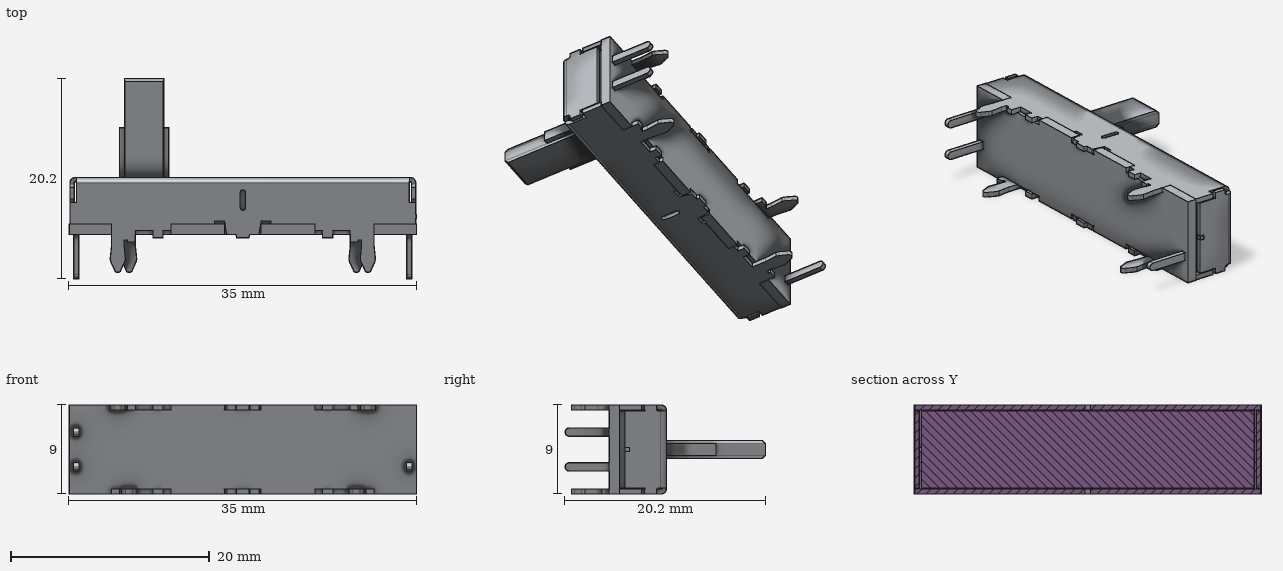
import cadquery as cq
length = 35.0
depth = 9.0
base_thickness = 1.05
sheet = 0.45
wall = 0.52
cover_front_y = 5.78
end_setback = 0.07
bend_outer_radius = 0.6
bend_inner_radius = bend_outer_radius - sheet

half_length = length / 2
half_depth = depth / 2
wall_inner_z = half_depth - wall
cover_half_length = half_length - end_setback
cover_inner_x = cover_half_length - sheet
cavity_top_y = cover_front_y - sheet

flap_half_width = 3.9
flap_bottom_y = 1.58
relief_length = 0.65
relief_bottom_y = 3.25
lug_bottom_y = 3.57
lug_top_y = 4.75
lug_root_radius = 0.3

slot_width = 0.52
slot_bottom_y = 2.45
slot_top_y = 4.5
notch_inner_x = 1.85
notch_outer_x = 2.85
notch_top_y = 1.35
center_tab_tip_x = 1.6
center_peg_root_half_width = 0.7
center_peg_half_width = 0.63
peg_bottom_y = -0.3
side_tab_inner_x = 7.25
side_tab_outer_x = 13.23
side_rim_y = 0.42
side_peg_inner_x = 8.0
side_peg_outer_x = 9.05

foot_plate_inner_x = 10.8
foot_half_width = 0.63
foot_bulge_half_width = 0.77
foot_flare_y = -1.12
foot_bulge_y = -2.45
foot_taper_y = -2.75
foot_taper_half_width = 0.7
foot_tip_arc_y = -3.5
foot_tip_arc_half_width = 0.35
foot_tip_y = -3.8
foot_shoulder_y = -0.75
foot_relief_width = 0.35
foot_relief_top_y = -0.52

terminal_x = 16.75
terminal_z = 1.75
terminal_thickness = 0.52
terminal_width = 0.85
terminal_tip_y = -4.45
terminal_places = [(-terminal_x, terminal_z), (-terminal_x, -terminal_z), (terminal_x, -terminal_z)]

lever_x = -9.95
lever_width = 4.0
lever_thickness = 1.82
lever_tip_y = 15.75
lever_chamfer = 0.3
lever_side_chamfer = 0.07
shoulder_width = 5.0
shoulder_top_y = 10.78
shoulder_thickness = lever_thickness - 2 * lever_chamfer

block_half_length = cover_half_length - relief_length
nib_bottom_y = 1.6
nib_size = 0.42


def box(x0, x1, y0, y1, z0, z1):
    """Box between two opposite corners."""
    return cq.Workplane("XY").box(x1 - x0, y1 - y0, z1 - z0, centered=False).translate((x0, y0, z0))


def nib_box():
    """Nib that reaches from the guide block to the +X end of the base."""
    return box(block_half_length, half_length, nib_bottom_y, nib_bottom_y + nib_size,
               -nib_size / 2, nib_size / 2)


def cover_shell():
    outer = box(-cover_half_length, cover_half_length, base_thickness, cover_front_y,
                -half_depth, half_depth).faces(">Y").edges().fillet(bend_outer_radius)
    cavity = box(-cover_inner_x, cover_inner_x, base_thickness, cavity_top_y,
                 -wall_inner_z, wall_inner_z).faces(">Y").edges().fillet(bend_inner_radius)
    return outer.cut(cavity)


def shape_end(shell, side):
    """Free one end flap from the walls and give it its two locking lugs; side is -1 or 1."""
    outer_x = side * cover_half_length
    x0, x1 = sorted((outer_x, side * cover_inner_x))
    relief_x0, relief_x1 = sorted((outer_x, side * (cover_half_length - relief_length)))
    shell = shell.cut(box(x0, x1, base_thickness, flap_bottom_y, -wall_inner_z, wall_inner_z))
    for top in (-1, 1):
        slit_z = sorted((top * flap_half_width, top * wall_inner_z))
        relief_z = sorted((top * flap_half_width, top * half_depth))
        shell = shell.cut(box(x0, x1, base_thickness, relief_bottom_y, *slit_z))
        shell = shell.cut(box(relief_x0, relief_x1, relief_bottom_y, cover_front_y, *relief_z))
        shell = shell.union(lug(x0, top))
    return shell


def lug(x0, top):
    """Locking lug on a flap edge, with a rounded root on its front side."""
    root_z = flap_half_width
    profile = (
        cq.Workplane("YZ", origin=(x0, 0, 0))
        .moveTo(lug_bottom_y, top * (root_z - sheet))
        .lineTo(lug_bottom_y, top * half_depth)
        .lineTo(lug_top_y, top * half_depth)
        .lineTo(lug_top_y, top * (root_z + lug_root_radius))
        .radiusArc((lug_top_y + lug_root_radius, top * root_z), -top * lug_root_radius)
        .lineTo(lug_top_y + lug_root_radius, top * (root_z - sheet))
        .close()
    )
    return profile.extrude(sheet)


def wall_workplane(wall_z):
    """Plane of the outline of a wall whose lower Z face is at wall_z."""
    return cq.Workplane("XY", origin=(0, 0, wall_z))


def center_tab(wall_z):
    return (
        wall_workplane(wall_z)
        .polyline([
            (-notch_inner_x, notch_top_y), (-center_tab_tip_x, 0),
            (-center_peg_root_half_width, 0), (-center_peg_half_width, peg_bottom_y),
            (center_peg_half_width, peg_bottom_y), (center_peg_root_half_width, 0),
            (center_tab_tip_x, 0), (notch_inner_x, notch_top_y),
        ])
        .close().extrude(wall)
    )


def side_tab(wall_z, side):
    """Wall extension that carries a small peg and the plate of a snap foot."""
    outline = [
        (side_tab_inner_x, base_thickness), (side_tab_inner_x, side_rim_y),
        (side_peg_inner_x, side_rim_y), (side_peg_inner_x, peg_bottom_y),
        (side_peg_outer_x, peg_bottom_y), (side_peg_outer_x, side_rim_y),
        (foot_plate_inner_x, side_rim_y), (foot_plate_inner_x, foot_shoulder_y),
        (side_tab_outer_x, foot_shoulder_y), (side_tab_outer_x, base_thickness),
    ]
    return wall_workplane(wall_z).polyline([(side * x, y) for x, y in outline]).close().extrude(wall)


def foot(wall_z, center_x):
    """Snap foot: it flares to a bulge and tapers to a rounded tip."""
    half = (
        (foot_half_width, foot_flare_y), (foot_bulge_half_width, foot_bulge_y),
        (foot_taper_half_width, foot_taper_y), (foot_tip_arc_half_width, foot_tip_arc_y),
    )
    right = [(center_x + x, y) for x, y in half]
    left = [(center_x - x, y) for x, y in reversed(half)]
    return (
        wall_workplane(wall_z)
        .moveTo(center_x + foot_half_width, foot_relief_top_y)
        .polyline(right, includeCurrent=True)
        .threePointArc((center_x, foot_tip_y), left[0])
        .polyline(left[1:], includeCurrent=True)
        .lineTo(center_x - foot_half_width, foot_relief_top_y)
        .close().extrude(wall)
    )


def foot_relief(wall_z, foot_x, toward):
    """Slit beside a foot; toward is the X direction from the foot to its shoulder."""
    edge_x = foot_x + toward * foot_half_width
    x0, x1 = sorted((edge_x, edge_x + toward * foot_relief_width))
    return box(x0, x1, foot_shoulder_y, foot_relief_top_y, wall_z, wall_z + wall)


def index_slot(wall_z):
    return (
        wall_workplane(wall_z)
        .center(0, (slot_bottom_y + slot_top_y) / 2)
        .slot2D(slot_top_y - slot_bottom_y, slot_width, 90)
        .extrude(wall)
    )


def make_cover():
    cover = cover_shell()
    for side in (-1, 1):
        cover = shape_end(cover, side)
    outer_foot_x = side_tab_outer_x - foot_half_width
    inner_foot_x = foot_plate_inner_x + foot_half_width
    for wall_z, foot_x, inward in ((wall_inner_z, outer_foot_x, -1), (-half_depth, inner_foot_x, 1)):
        cover = cover.cut(index_slot(wall_z))
        for side in (-1, 1):
            notch_x = sorted((side * notch_inner_x, side * notch_outer_x))
            cover = cover.cut(box(*notch_x, base_thickness, notch_top_y, wall_z, wall_z + wall))
            cover = cover.union(side_tab(wall_z, side))
            cover = cover.cut(foot_relief(wall_z, side * foot_x, side * inward))
            cover = cover.union(foot(wall_z, side * foot_x))
        cover = cover.cut(
            box(-notch_inner_x, notch_inner_x, base_thickness, notch_top_y, wall_z, wall_z + wall)
        )
        cover = cover.union(center_tab(wall_z))
    return cover.cut(lever_envelope()).cut(nib_box())


def make_base():
    base = box(-half_length, half_length, 0, base_thickness, -half_depth, half_depth)
    recesses = (
        (-side_tab_outer_x, -side_tab_inner_x),
        (-notch_inner_x, notch_inner_x),
        (side_tab_inner_x, side_tab_outer_x),
    )
    for wall_z in (wall_inner_z, -half_depth):
        for x0, x1 in recesses:
            base = base.cut(box(x0, x1, 0, base_thickness, wall_z, wall_z + wall))
    for place in terminal_places:
        base = base.cut(make_terminal(*place))
    return base


def make_terminal(x, z):
    radius = terminal_width / 2
    return (
        cq.Workplane("YZ", origin=(x - terminal_thickness / 2, 0, 0))
        .moveTo(base_thickness, z - radius)
        .lineTo(terminal_tip_y + radius, z - radius)
        .threePointArc((terminal_tip_y, z), (terminal_tip_y + radius, z + radius))
        .lineTo(base_thickness, z + radius)
        .close().extrude(terminal_thickness)
    )


def lever_envelope():
    half_x = lever_width / 2
    half_z = lever_thickness / 2
    section = [
        (half_x, half_z - lever_chamfer), (half_x - lever_side_chamfer, half_z),
        (-half_x + lever_side_chamfer, half_z), (-half_x, half_z - lever_chamfer),
        (-half_x, -half_z + lever_chamfer), (-half_x + lever_side_chamfer, -half_z),
        (half_x - lever_side_chamfer, -half_z), (half_x, -half_z + lever_chamfer),
    ]
    bar = (
        cq.Workplane("XZ", origin=(lever_x, cavity_top_y, 0))
        .polyline(section).close().extrude(cavity_top_y - lever_tip_y)
    )
    shoulders = box(lever_x - shoulder_width / 2, lever_x + shoulder_width / 2,
                    cavity_top_y, shoulder_top_y, -shoulder_thickness / 2, shoulder_thickness / 2)
    return bar.union(shoulders)


def make_lever():
    wedge = (
        cq.Workplane("YZ", origin=(lever_x - lever_width / 2, 0, 0))
        .polyline([
            (lever_tip_y, lever_thickness / 2),
            (lever_tip_y - lever_chamfer, lever_thickness / 2),
            (lever_tip_y, lever_thickness / 2 - lever_chamfer),
        ])
        .close().extrude(lever_width)
    )
    return lever_envelope().cut(wedge).cut(wedge.mirror("XY"))


def make_guide_block():
    block = box(-block_half_length, block_half_length, base_thickness, cavity_top_y,
                -flap_half_width, flap_half_width).faces(">Y").edges("|X").fillet(bend_inner_radius)
    return block.union(nib_box())


cover = make_cover()
base = make_base()
lever = make_lever()
guide_block = make_guide_block()
terminals = [make_terminal(*place) for place in terminal_places]

result = cq.Compound.makeCompound(
    [body.solids().val() for body in (cover, base, lever, guide_block, *terminals)]
)